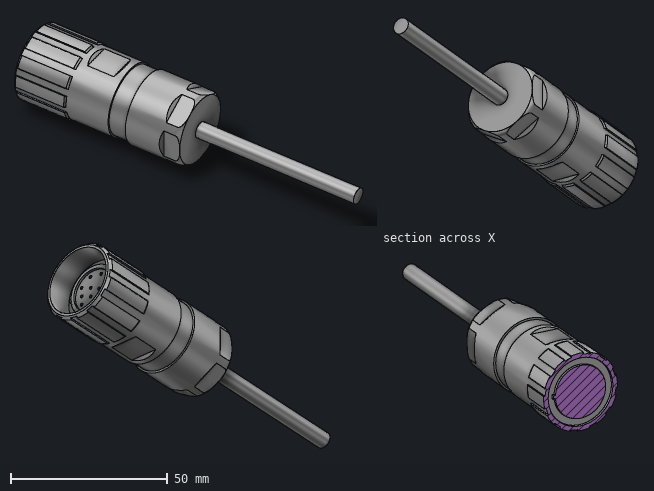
import cadquery as cq
import math

total_length = 122.9
rib_end = 19.4
rib_fall_length = 0.6
sleeve_end = 36.0
neck_end = 42.7
body_end = 62.7

rib_radius = 13.5
sleeve_radius = 13.0
body_radius = 13.2
neck_radius = 12.4
cable_radius = 2.8

rim_radius = 12.5
bore_radius = 11.7
bore_depth = 9.5

rib_count = 12
rib_angle = 19.0
rib_offset_angle = 5.0

flat_distance = 12.0
sleeve_flat_start = 23.0
sleeve_flat_end = 33.0
hex_flat_start = 56.7
hex_flat_count = 6

shoulder_length = 1.8
shoulder_end_radius = flat_distance

insert_radius = 9.2
insert_height = 2.3
insert_rounding = 0.7
insert_recess_radius = 7.6
insert_recess_depth = 0.9
key_width = 1.2
key_tip_radius = 10.0

contact_diameter = 1.0
contact_depth = 0.6
outer_contact_radius = 6.0
outer_contact_count = 8
outer_contact_first_angle = 32.0
outer_contact_pitch_angle = 44.0
inner_contact_radius = 2.1
inner_contact_angle = 52.0
side_contact_radius = 5.0

insert_face = bore_depth - insert_height
recess_floor = insert_face + insert_recess_depth


def revolve_about_x(profile):
    """Turn a closed profile, drawn as (x, radius), about the X axis."""
    return profile.close().revolve(360, (0, 0, 0), (1, 0, 0))


def cylinder(radius, start, end):
    """Cylinder along X between two stations."""
    return cq.Workplane("YZ", origin=(start, 0, 0)).circle(radius).extrude(end - start)


def polar_yz(radius, angle):
    """Point in the YZ plane, with the angle turning from +Y towards +Z."""
    return radius * math.cos(math.radians(angle)), radius * math.sin(math.radians(angle))


def make_barrel():
    """Sleeve, neck, rear body and cable as one turned solid."""
    shoulder_start = body_end - shoulder_length
    profile = (
        cq.Workplane("XY")
        .moveTo(0, 0)
        .lineTo(0, rim_radius)
        .lineTo(sleeve_radius - rim_radius, sleeve_radius)
        .lineTo(sleeve_end, sleeve_radius)
        .lineTo(sleeve_end, neck_radius)
        .lineTo(neck_end, neck_radius)
        .lineTo(neck_end, body_radius)
        .lineTo(shoulder_start, body_radius)
        .tangentArcPoint((body_end, shoulder_end_radius), relative=False)
        .lineTo(body_end, cable_radius)
        .lineTo(total_length, cable_radius)
        .lineTo(total_length, 0)
    )
    return revolve_about_x(profile)


def make_ribs():
    """Grip ribs: angular slices of a ring that is chamfered at both ends."""
    rib_foot = rib_end + rib_fall_length
    ring = revolve_about_x(
        cq.Workplane("XY")
        .moveTo(0, bore_radius)
        .lineTo(0, rim_radius)
        .lineTo(rib_radius - rim_radius, rib_radius)
        .lineTo(rib_end, rib_radius)
        .lineTo(rib_foot, sleeve_radius)
        .lineTo(rib_foot, bore_radius)
    )
    wedge_radius = 2 * rib_radius
    wedges = cq.Workplane("YZ")
    for index in range(rib_count):
        middle = rib_offset_angle + index * 360 / rib_count
        corner_a = polar_yz(wedge_radius, 180 - middle - rib_angle / 2)
        corner_b = polar_yz(wedge_radius, 180 - middle + rib_angle / 2)
        wedges = wedges.polyline([(0, 0), corner_a, corner_b]).close()
    return ring.intersect(wedges.extrude(sleeve_end))


def flat_cutter(start, end, start_slope, end_slope):
    """Cutter above Z = flat_distance whose sloped ends rise at 45 degrees."""
    rise = 2 * (body_radius - flat_distance)
    return (
        cq.Workplane("XZ")
        .polyline([
            (start, flat_distance),
            (end, flat_distance),
            (end + end_slope * rise, flat_distance + rise),
            (start - start_slope * rise, flat_distance + rise),
        ])
        .close()
        .extrude(body_radius, both=True)
    )


def cut_sleeve_flats(body):
    """Two opposite wrench flats facing +Z and -Z."""
    cutter = flat_cutter(sleeve_flat_start, sleeve_flat_end, 1, 1)
    for angle in (0, 180):
        body = body.cut(cutter.rotate((0, 0, 0), (1, 0, 0), angle))
    return body


def cut_hex_flats(body):
    """Hexagon flats at the rear end, with one pair facing +Y and -Y."""
    cutter = flat_cutter(hex_flat_start, body_end, 1, 0)
    for index in range(hex_flat_count):
        angle = 90 + index * 360 / hex_flat_count
        body = body.cut(cutter.rotate((0, 0, 0), (1, 0, 0), angle))
    return body


def make_insert():
    """Contact carrier with a rounded rim, a shallow recess and a key on +Y."""
    carrier = cylinder(insert_radius, insert_face, bore_depth).faces("<X").fillet(insert_rounding)
    key_inner_radius = insert_recess_radius + insert_rounding
    key = cq.Workplane("XY").box(
        insert_height - insert_rounding, key_tip_radius - key_inner_radius, key_width,
        centered=(False, False, True),
    ).translate((insert_face + insert_rounding, key_inner_radius, 0))
    recess = cylinder(insert_recess_radius, insert_face, recess_floor)
    return carrier.union(key).cut(recess)


def contact_points():
    """Contact positions in the YZ plane: outer ring, inner ring and one side contact."""
    outer = [
        polar_yz(outer_contact_radius, outer_contact_first_angle + index * outer_contact_pitch_angle)
        for index in range(outer_contact_count // 2)
    ]
    mirrored = [(y, -z) for y, z in outer]
    inner = [
        polar_yz(inner_contact_radius, angle)
        for angle in (180, inner_contact_angle, -inner_contact_angle)
    ]
    return outer + mirrored + inner + [(side_contact_radius, 0)]


def make_contact_holes():
    """Blind holes sunk into the recess floor of the insert."""
    return (
        cq.Workplane("YZ", origin=(recess_floor, 0, 0))
        .pushPoints(contact_points())
        .circle(contact_diameter / 2)
        .extrude(contact_depth)
    )


shell = make_barrel().union(make_ribs())
shell = cut_sleeve_flats(shell)
shell = cut_hex_flats(shell)
shell = shell.cut(cylinder(bore_radius, 0, bore_depth))
result = shell.union(make_insert()).cut(make_contact_holes())